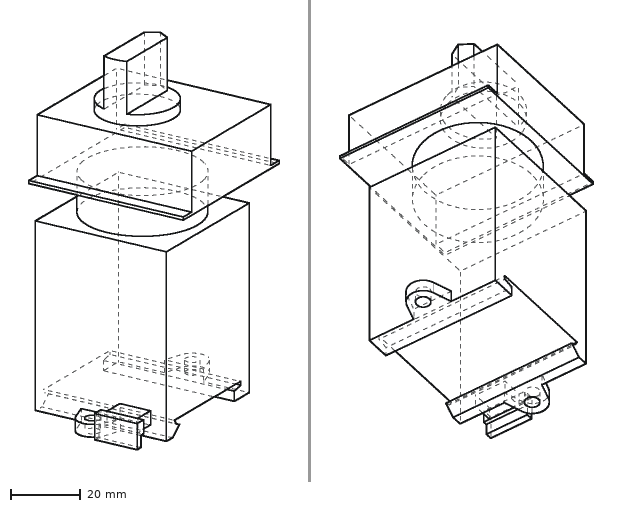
import cadquery as cq
import math

housing_width = 45.0
housing_height = 59.2
half_width = housing_width / 2

slot_depth = 5.1
slot_back_y = 17.8
fixed_lip_y = 14.3
fixed_lip_edge_z = 3.2
fixed_lip_root_z = 3.9
nose_root_y = -18.0
nose_shoulder_y = -17.2
nose_shoulder_z = 3.7
nose_tip_y = -15.4
nose_tip_z = 2.9
nose_foot_y = -19.0

lug_thickness = 4.0
lug_reach = 9.5
lug_radius = 5.0
lug_root_half_width = 6.7
lug_hole_diameter = 4.5

latch_center_x = 11.8
latch_top_z = 8.4
latch_bottom_z = lug_thickness
stem_width = 10.5
stem_length = 7.0
plate_width = 14.6
plate_inner_y = -half_width - stem_length
plate_outer_y = -33.0
lip_bottom_z = 0.2
lip_thickness = 2.2
lip_inner_y = plate_outer_y + lip_thickness

neck_diameter = 38.0
neck_top_z = 72.0
neck_height = neck_top_z - housing_height

cover_length = 53.0
cover_width = 43.0
cover_height = 20.0
flange_width = 52.0
flange_thickness = 1.0
cover_top_z = neck_top_z + cover_height

knob_diameter = 25.0
knob_center_y = -2.75
knob_base_height = 3.5
knob_height = 20.0
grip_thickness = 7.9
grip_point_length = 2.4


def box(x_min, x_max, y_min, y_max, z_min, z_max):
    size = (x_max - x_min, y_max - y_min, z_max - z_min)
    return cq.Workplane("XY").box(*size, centered=False).translate((x_min, y_min, z_min))


def make_lug():
    """Lug on the -Y face: sides taper from the wall and run tangent into a round end."""
    center_y = -half_width - lug_reach + lug_radius
    drop = center_y + half_width
    root_angle = math.atan2(-drop, lug_root_half_width)
    root_distance = math.hypot(drop, lug_root_half_width)
    tangent_angle = root_angle - math.acos(lug_radius / root_distance)
    tangent_x = lug_radius * math.cos(tangent_angle)
    tangent_y = center_y + lug_radius * math.sin(tangent_angle)
    return (
        cq.Workplane("XY")
        .moveTo(-lug_root_half_width, -half_width)
        .lineTo(-tangent_x, tangent_y)
        .threePointArc((0, center_y - lug_radius), (tangent_x, tangent_y))
        .lineTo(lug_root_half_width, -half_width)
        .close()
        .extrude(lug_thickness)
        .cut(cq.Workplane("XY").center(0, center_y).circle(lug_hole_diameter / 2).extrude(lug_thickness))
    )


def make_housing():
    """Block with the rail slot and both lugs."""
    profile = [
        (-half_width, 0),
        (nose_foot_y, 0),
        (nose_tip_y, nose_tip_z),
        (nose_shoulder_y, nose_shoulder_z),
        (nose_root_y, slot_depth),
        (slot_back_y, slot_depth),
        (slot_back_y, fixed_lip_root_z),
        (fixed_lip_y, fixed_lip_edge_z),
        (fixed_lip_y, 0),
        (half_width, 0),
        (half_width, housing_height),
        (-half_width, housing_height),
    ]
    block = cq.Workplane("YZ").polyline(profile).close().extrude(half_width, both=True)
    lug = make_lug()
    return block.union(lug).union(lug.mirror("XZ"))


def make_stem():
    return box(latch_center_x - stem_width / 2, latch_center_x + stem_width / 2,
               plate_inner_y, -half_width, latch_bottom_z, latch_top_z)


def make_plate():
    """Finger plate, stepped at the back so that its lip clears the lug."""
    profile = [
        (plate_inner_y, latch_top_z),
        (plate_outer_y, latch_top_z),
        (plate_outer_y, lip_bottom_z),
        (lip_inner_y, lip_bottom_z),
        (lip_inner_y, latch_bottom_z),
        (plate_inner_y, latch_bottom_z),
    ]
    plate = cq.Workplane("YZ").polyline(profile).close().extrude(plate_width / 2, both=True)
    return plate.translate((latch_center_x, 0, 0))


def make_neck():
    return cq.Workplane("XY").workplane(offset=housing_height).circle(neck_diameter / 2).extrude(neck_height)


def make_cover():
    x_min = -half_width
    x_max = x_min + cover_length
    body = box(x_min, x_max, -cover_width / 2, cover_width / 2, neck_top_z, cover_top_z)
    flange = box(x_min, x_max, -flange_width / 2, flange_width / 2, neck_top_z, neck_top_z + flange_thickness)
    return body.union(flange)


def make_knob():
    radius = knob_diameter / 2
    disc = cq.Workplane("XY").circle(radius).extrude(knob_height)
    half_grip = grip_thickness / 2
    grip = (
        cq.Workplane("XY")
        .polyline([
            (-half_grip, -radius),
            (half_grip, -radius),
            (half_grip, radius - grip_point_length),
            (0, radius),
            (-half_grip, radius - grip_point_length),
        ])
        .close()
        .extrude(knob_height)
        .intersect(disc)
    )
    base = cq.Workplane("XY").circle(radius).extrude(knob_base_height)
    return base.union(grip).translate((0, knob_center_y, cover_top_z))


housing = make_housing()
stem = make_stem()
plate = make_plate()
neck = make_neck()
cover = make_cover()
knob = make_knob()

result = cq.Compound.makeCompound([
    housing.val(),
    stem.val(),
    plate.val(),
    neck.val(),
    cover.val(),
    knob.val(),
])